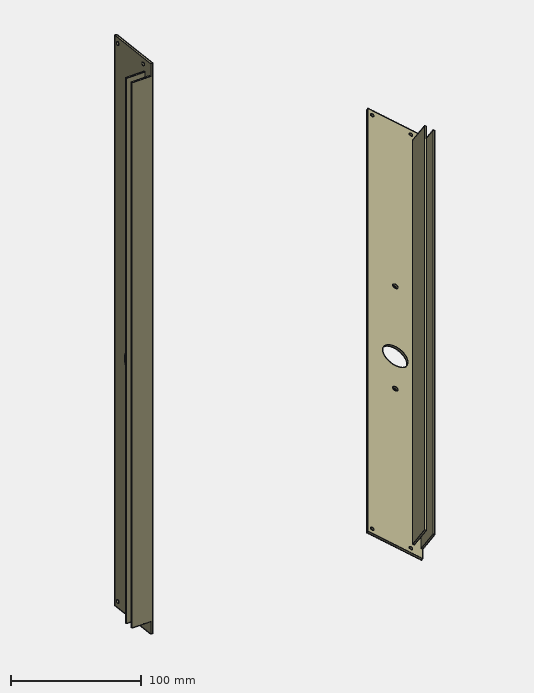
import cadquery as cq

PLATE_WIDTH = 50.0
PLATE_LENGTH = 515.07
PLATE_THICKNESS = 1.9

TOTAL_DEPTH = 18.97
FIN_THICKNESS = 1.5
FIN_SPACING = 7.75
FIN_END_SETBACK = 11.4

CORNER_HOLE_DIAMETER = 3.0
CORNER_HOLE_END_MARGIN = 5.7
LEFT_HOLE_X = -21.0
RIGHT_HOLE_X = 14.3

CENTRE_HOLE_DIAMETER = 4.8
UPPER_HOLE_Z = 57.5
LOWER_HOLE_Z = -67.2
BIG_HOLE_DIAMETER = 23.0
BIG_HOLE_Z = -27.4

FIN_LENGTH = PLATE_LENGTH - 2 * FIN_END_SETBACK
OUTER_FIN_X = PLATE_WIDTH / 2 - FIN_THICKNESS / 2
INNER_FIN_X = OUTER_FIN_X - FIN_SPACING
CORNER_HOLE_Z = PLATE_LENGTH / 2 - CORNER_HOLE_END_MARGIN


def forward_box(width, depth, length, x):
    """Box centred on x and on Z = 0, reaching from Y = 0 forward to Y = -depth."""
    return cq.Workplane("XY").box(width, depth, length).translate((x, -depth / 2, 0))


def through_holes(diameter, positions):
    """Cylinders along Y through the plate at the given (x, z) positions."""
    return cq.Workplane("XZ").pushPoints(positions).circle(diameter / 2).extrude(PLATE_THICKNESS)


plate = forward_box(PLATE_WIDTH, PLATE_THICKNESS, PLATE_LENGTH, 0)

corner_positions = [(x, z) for x in (LEFT_HOLE_X, RIGHT_HOLE_X) for z in (-CORNER_HOLE_Z, CORNER_HOLE_Z)]
plate = plate.cut(through_holes(CORNER_HOLE_DIAMETER, corner_positions))
plate = plate.cut(through_holes(CENTRE_HOLE_DIAMETER, [(0, LOWER_HOLE_Z), (0, UPPER_HOLE_Z)]))
plate = plate.cut(through_holes(BIG_HOLE_DIAMETER, [(0, BIG_HOLE_Z)]))

result = plate
for fin_x in (INNER_FIN_X, OUTER_FIN_X):
    result = result.union(forward_box(FIN_THICKNESS, TOTAL_DEPTH, FIN_LENGTH, fin_x))